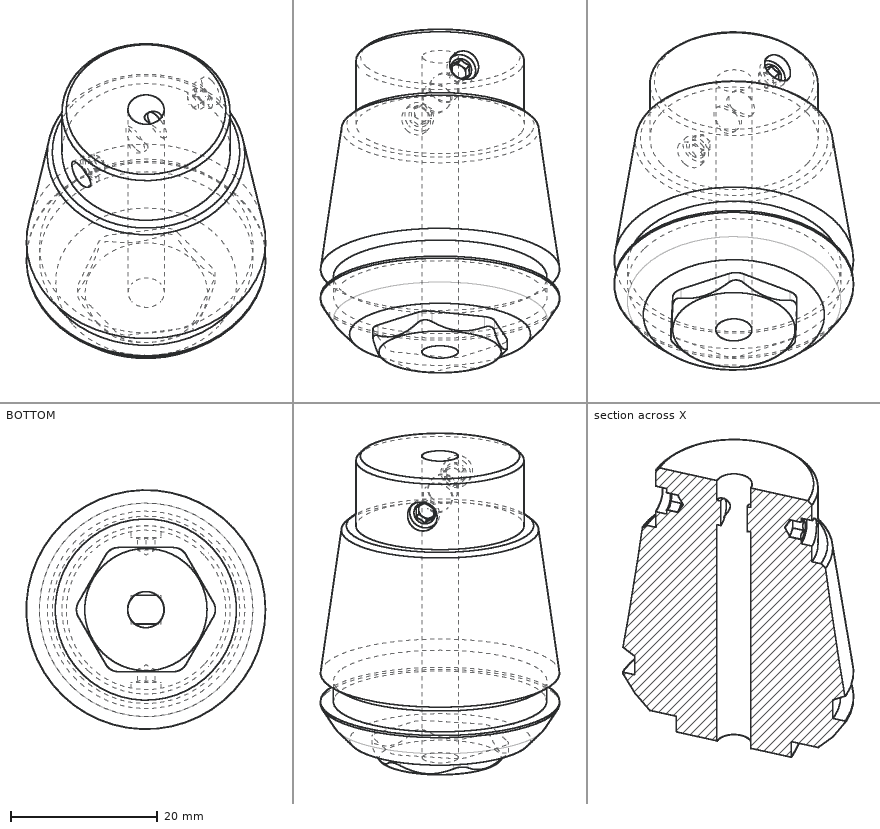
import cadquery as cq
import math

total_height = 43.0
nut_height = 2.6
flange_break_z = 4.9
flange_edge_z = 7.7
flange_top_z = 8.0
groove_top_z = 10.95
taper_bottom_z = 12.05
collar_bottom_z = 33.05

collar_diameter = 23.0
taper_top_diameter = 27.0
largest_diameter = 32.72
groove_diameter = 29.2
flange_bottom_diameter = 24.75
bore_diameter = 4.95

edge_chamfer = 0.6
shoulder_chamfer_width = 0.7

nut_across_flats = 17.0
nut_corner_fillet = 2.0
nut_face_diameter = 16.73
nut_chamfer_height = 1.25
nut_chamfer_width = 1.08

screw_diameter = 4.13
screw_z = 37.7
screw_recess = 1.6
screw_tip_y = 1.95
socket_across_flats = 2.4
socket_rim_diameter = 2.95
socket_depth = 1.7
socket_point_depth = 0.7

HEX_CORNER_RATIO = 1 / math.cos(math.radians(30))


def make_turned_body():
    """Flange, groove, tapered body and collar revolved about Z."""
    collar_radius = collar_diameter / 2
    taper_top_radius = taper_top_diameter / 2
    largest_radius = largest_diameter / 2
    groove_radius = groove_diameter / 2
    profile = [
        (0, nut_height),
        (flange_bottom_diameter / 2, nut_height),
        (groove_radius, flange_break_z),
        (largest_radius, flange_edge_z),
        (largest_radius, flange_top_z),
        (groove_radius, flange_top_z),
        (groove_radius, groove_top_z),
        (largest_radius, taper_bottom_z),
        (taper_top_radius, collar_bottom_z - edge_chamfer),
        (taper_top_radius - shoulder_chamfer_width, collar_bottom_z),
        (collar_radius, collar_bottom_z),
        (collar_radius, total_height - edge_chamfer),
        (collar_radius - edge_chamfer, total_height),
        (0, total_height),
    ]
    return cq.Workplane("XZ").polyline(profile).close().revolve(360, (0, 0, 0), (0, 1, 0))


def make_nut():
    """Hexagon with rounded corners, coned off at its bottom face."""
    face_radius = nut_face_diameter / 2
    chamfer_radius = face_radius + nut_chamfer_width
    hexagon = (
        cq.Workplane("XY")
        .polygon(6, nut_across_flats * HEX_CORNER_RATIO)
        .extrude(nut_height)
        .edges("|Z")
        .fillet(nut_corner_fillet)
    )
    cone_top_radius = face_radius + (chamfer_radius - face_radius) * nut_height / nut_chamfer_height
    limit = (
        cq.Workplane("XY")
        .circle(face_radius)
        .workplane(offset=nut_height)
        .circle(cone_top_radius)
        .loft()
    )
    return hexagon.intersect(limit)


def make_screw():
    """Set screw on the -Y side with a countersunk hexagonal socket facing outward."""
    head_y = -(collar_diameter / 2 - screw_recess)
    head_plane = cq.Plane(origin=(0, head_y, screw_z), xDir=(1, 0, 0), normal=(0, -1, 0))
    screw_length = -head_y - screw_tip_y
    screw = cq.Workplane(head_plane).circle(screw_diameter / 2).extrude(-screw_length)

    socket = (
        cq.Workplane(head_plane)
        .transformed(rotate=(0, 0, 90))
        .polygon(6, socket_across_flats * HEX_CORNER_RATIO)
        .extrude(-socket_depth)
    )
    rim_origin = cq.Vector(0, head_y, screw_z)
    inward = cq.Vector(0, 1, 0)
    flat_radius = socket_across_flats / 2
    rim_radius = socket_rim_diameter / 2
    rim = cq.Solid.makeCone(rim_radius, flat_radius, rim_radius - flat_radius, rim_origin, inward)
    point_origin = rim_origin + inward * socket_depth
    point = cq.Solid.makeCone(flat_radius, 0, socket_point_depth, point_origin, inward)
    return screw.cut(socket).cut(cq.Workplane(rim)).cut(cq.Workplane(point))


bore = cq.Workplane("XY").circle(bore_diameter / 2).extrude(total_height)
screw_holes = (
    cq.Workplane("XZ", origin=(0, 0, screw_z))
    .circle(screw_diameter / 2)
    .extrude(collar_diameter, both=True)
)
front_screw = make_screw()
back_screw = front_screw.rotate((0, 0, 0), (0, 0, 1), 180)

result = (
    make_turned_body()
    .union(make_nut())
    .cut(bore)
    .cut(screw_holes)
    .union(front_screw)
    .union(back_screw)
)